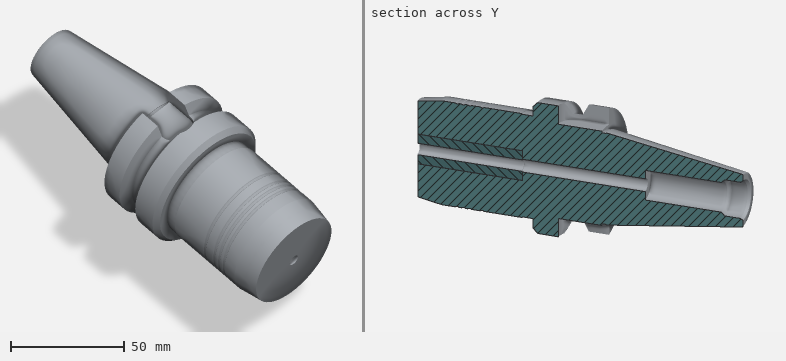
import cadquery as cq
import math

LENGTH = 155.4

GAUGE_RADIUS = 22.2
GAUGE_X = 65.5
TAPER_RATIO = 7 / 24
SMALL_END_RADIUS = GAUGE_RADIUS - GAUGE_X * TAPER_RATIO / 2
SMALL_END_ROUND = 0.8
RELIEF_RADIUS = 21.9

FLANGE_DIAMETER = 63.0
FLANGE_RADIUS = FLANGE_DIAMETER / 2
FLANGE_START_X = 67.3
FLANGE_END_X = 100.4
FLANGE_CHAMFER = 2.3
V_FLOOR_RADIUS = 26.4
V_FLOOR_START_X = 79.9
V_FLOOR_END_X = 84.0
V_FLANK_ANGLE = 30.0
V_CORNER_ROUND = 0.39
V_FLANK_RUN = (FLANGE_RADIUS - V_FLOOR_RADIUS) * math.tan(math.radians(V_FLANK_ANGLE))

SLOT_WIDTH = 16.5
SLOT_FLOOR_Z = 22.7
SLOT_END_X = 88.1

NECK_RADIUS = 24.7
NOSE_RADIUS = 25.0
NOSE_START_X = 105.5
NOSE_TAPER_X = 143.7
NOSE_TIP_RADIUS = 23.0

RING_FIRST_X = 123.7
RING_LAST_X = 135.7
RING_STEPS = (0, 2, 3, 4)
RING_PITCH = (RING_LAST_X - RING_FIRST_X) / RING_STEPS[-1]
RING_DEPTH = 0.28
RING_FLOOR_WIDTH = 1.17

MOUTH_RADIUS = 9.5
MOUTH_CHAMFER_LENGTH = 1.2
BORE_RADIUS = 8.5
BORE_DEPTH = 8.9
THREAD_RADIUS = 7.0
THREAD_CONE_LENGTH = BORE_RADIUS - THREAD_RADIUS
THREAD_DEPTH = 46.6

COOLANT_RADIUS = 3.0
SCREW_RADIUS = THREAD_RADIUS
SCREW_START_X = NOSE_START_X
SCREW_HOLE_RADIUS = 2.6


def revolve_about_x(points):
    """Solid of revolution about X of a closed outline of (x, radius) points."""
    return cq.Workplane("XZ").polyline(points).close().revolve(360, (0, 0, 0), (1, 0, 0))


def cylinder_along_x(radius, start_x, end_x):
    return cq.Workplane("YZ", origin=(start_x, 0, 0)).circle(radius).extrude(end_x - start_x)


def make_shank():
    shank = revolve_about_x([
        (0, 0),
        (0, SMALL_END_RADIUS),
        (GAUGE_X, GAUGE_RADIUS),
        (GAUGE_X, RELIEF_RADIUS),
        (FLANGE_START_X, RELIEF_RADIUS),
        (FLANGE_START_X, 0),
    ])
    return shank.faces("<X").edges().fillet(SMALL_END_ROUND)


def make_drive_slot():
    """Cutter for the slot on the +Z side."""
    half_width = SLOT_WIDTH / 2
    arc_center_x = SLOT_END_X - half_width
    return (
        cq.Workplane("XY", origin=(0, 0, SLOT_FLOOR_Z))
        .moveTo(FLANGE_START_X, -half_width)
        .lineTo(arc_center_x, -half_width)
        .threePointArc((SLOT_END_X, 0), (arc_center_x, half_width))
        .lineTo(FLANGE_START_X, half_width)
        .close()
        .extrude(FLANGE_RADIUS - SLOT_FLOOR_Z)
    )


def make_flange():
    flange = revolve_about_x([
        (FLANGE_START_X, 0),
        (FLANGE_START_X, FLANGE_RADIUS),
        (V_FLOOR_START_X - V_FLANK_RUN, FLANGE_RADIUS),
        (V_FLOOR_START_X, V_FLOOR_RADIUS),
        (V_FLOOR_END_X, V_FLOOR_RADIUS),
        (V_FLOOR_END_X + V_FLANK_RUN, FLANGE_RADIUS),
        (FLANGE_END_X - FLANGE_CHAMFER, FLANGE_RADIUS),
        (FLANGE_END_X, FLANGE_RADIUS - FLANGE_CHAMFER),
        (FLANGE_END_X, 0),
    ])
    floor_edges = cq.selectors.RadiusNthSelector(0)
    flange = flange.edges("%CIRCLE").edges(floor_edges).fillet(V_CORNER_ROUND)
    slot = make_drive_slot()
    for turn in (0, 180):
        flange = flange.cut(slot.rotate((0, 0, 0), (1, 0, 0), turn))
    return flange


def make_ring_groove(start_x):
    """Cutter for one ring groove, which is widest at the surface of the nose."""
    return revolve_about_x([
        (start_x, NOSE_RADIUS),
        (start_x + RING_DEPTH, NOSE_RADIUS - RING_DEPTH),
        (start_x + RING_DEPTH + RING_FLOOR_WIDTH, NOSE_RADIUS - RING_DEPTH),
        (start_x + 2 * RING_DEPTH + RING_FLOOR_WIDTH, NOSE_RADIUS),
    ])


def make_nose():
    nose = revolve_about_x([
        (FLANGE_END_X, 0),
        (FLANGE_END_X, NECK_RADIUS),
        (NOSE_START_X, NECK_RADIUS),
        (NOSE_START_X, NOSE_RADIUS),
        (NOSE_TAPER_X, NOSE_RADIUS),
        (LENGTH, NOSE_TIP_RADIUS),
        (LENGTH, 0),
    ])
    for step in RING_STEPS:
        nose = nose.cut(make_ring_groove(RING_FIRST_X + step * RING_PITCH))
    return nose


def make_draw_bar_bore():
    return revolve_about_x([
        (0, 0),
        (0, MOUTH_RADIUS),
        (MOUTH_CHAMFER_LENGTH, BORE_RADIUS),
        (BORE_DEPTH, BORE_RADIUS),
        (BORE_DEPTH + THREAD_CONE_LENGTH, THREAD_RADIUS),
        (THREAD_DEPTH, THREAD_RADIUS),
        (THREAD_DEPTH, 0),
    ])


def make_holder():
    """One-piece holder, hollowed along its axis."""
    holder = make_shank().union(make_flange()).union(make_nose())
    holder = holder.cut(make_draw_bar_bore())
    holder = holder.cut(cylinder_along_x(COOLANT_RADIUS, THREAD_DEPTH, SCREW_START_X))
    return holder.cut(cylinder_along_x(SCREW_RADIUS, SCREW_START_X, LENGTH))


def make_adjusting_screw():
    """Screw that fills its hole in the nose, with a through hole for coolant."""
    screw = cylinder_along_x(SCREW_RADIUS, SCREW_START_X, LENGTH)
    return screw.cut(cylinder_along_x(SCREW_HOLE_RADIUS, SCREW_START_X, LENGTH))


holder = make_holder()
adjusting_screw = make_adjusting_screw()

result = cq.Compound.makeCompound([holder.solids().val(), adjusting_screw.solids().val()])